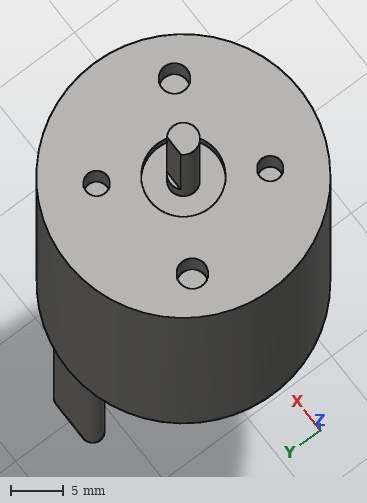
import cadquery as cq

total_height = 71.4
terminal_length = 20.0
body_length = 38.0
shaft_length = total_height - terminal_length - body_length
body_bottom = terminal_length
body_top = body_bottom + body_length

body_diameter = 27.85

recess_diameter = 8.0
recess_depth = 1.5

shaft_diameter = 3.15
flat_distance = 1.15
flat_start = 0.85

hole_depth = 4.0
small_hole_diameter = 2.5
small_hole_circle = 16.5
small_hole_angle = 57.6
large_hole_diameter = 3.0
large_hole_circle = 19.2
large_hole_angle = small_hole_angle + 90.0

terminal_width = 6.5
terminal_thickness = 2.3
terminal_offset = 12.4


def make_body():
    """Cylindrical can with the recess cut into its top face."""
    body = cq.Workplane("XY").workplane(offset=body_bottom).circle(body_diameter / 2).extrude(body_length)
    return body.faces(">Z").workplane().hole(recess_diameter, recess_depth)


def make_shaft():
    """Shaft rising from the recess floor, flattened above the top face."""
    shaft = (
        cq.Workplane("XY")
        .workplane(offset=body_top - recess_depth)
        .circle(shaft_diameter / 2)
        .extrude(shaft_length + recess_depth)
    )
    flat_cutter = (
        cq.Workplane("XY")
        .workplane(offset=body_top + flat_start)
        .center(0, flat_distance + shaft_diameter / 2)
        .rect(shaft_diameter, shaft_diameter)
        .extrude(shaft_length)
    )
    return shaft.cut(flat_cutter)


def make_hole_pair(diameter, circle_diameter, angle):
    """Cutters for two opposite blind holes in the top face."""
    return (
        cq.Workplane("XY")
        .workplane(offset=body_top)
        .polarArray(circle_diameter / 2, angle, 360, 2)
        .circle(diameter / 2)
        .extrude(-hole_depth)
    )


def make_terminal():
    """Bar with rounded ends hanging from the bottom face."""
    return (
        cq.Workplane("XY")
        .center(0, terminal_offset)
        .slot2D(terminal_width, terminal_thickness)
        .extrude(terminal_length)
    )


result = (
    make_body()
    .cut(make_hole_pair(small_hole_diameter, small_hole_circle, small_hole_angle))
    .cut(make_hole_pair(large_hole_diameter, large_hole_circle, large_hole_angle))
    .union(make_shaft())
    .union(make_terminal())
)